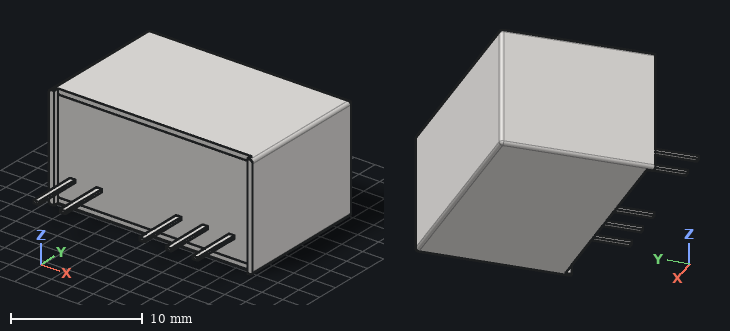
import cadquery as cq

width = 19.5
height = 9.8
depth = 12.5
wall = 0.5
edge_radius = 0.27
notch_depth = 0.5

pin_width = 0.5
pin_thickness = 0.25
pin_reach = 4.1
pin_height = 2.4
pin_pitch = 2.54
first_pin_x = -7.84
pin_slots = [0, 1, 4, 5, 6]

inner_width = width - 2 * wall
inner_height = height - 2 * wall
front_face_y = notch_depth
back_wall_y = depth - wall


def box_between(size_x, y_start, y_end, size_z, z_center):
    """Box centred on x = 0, spanning y_start to y_end."""
    length = y_end - y_start
    center = (0, y_start + length / 2, z_center)
    return cq.Workplane("XY").box(size_x, length, size_z).translate(center)


def make_housing():
    """Thin-walled case with rounded edges and a front set back between its side walls."""
    shell = box_between(width, 0, depth, height, height / 2)
    shell = shell.edges("|Y").fillet(edge_radius)
    shell = shell.faces(">Y").edges().fillet(edge_radius)
    cavity = box_between(inner_width, 0, back_wall_y, inner_height, height / 2)
    notch = box_between(inner_width, 0, front_face_y, height, height / 2)
    return shell.cut(cavity).cut(notch)


def make_potting():
    """Solid fill of the cavity, flush with the set-back top and bottom walls."""
    return box_between(inner_width, front_face_y, back_wall_y, inner_height, height / 2)


def make_pin(x):
    """Flat straight pin standing on the front face of the potting."""
    pin = box_between(pin_width, -pin_reach, front_face_y, pin_thickness, pin_height)
    return pin.translate((x, 0, 0))


housing = make_housing()
potting = make_potting()
pins = [make_pin(first_pin_x + slot * pin_pitch) for slot in pin_slots]

result = cq.Compound.makeCompound([housing.val(), potting.val(), *[pin.val() for pin in pins]])